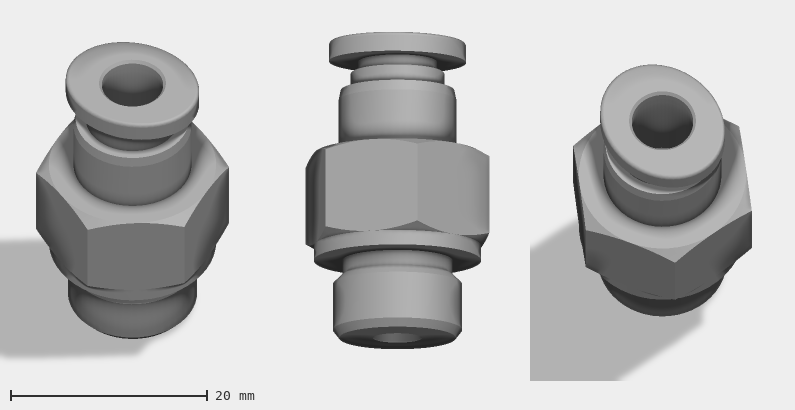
import cadquery as cq
import math

end_chamfer_top = 0.83
thread_top = 5.57
relief_bottom = 6.52
collar_bottom = 8.02
hex_bottom = 9.52
hex_top = 19.0
shoulder_bottom = 24.57
body_top = 25.6
step_top = 27.42
flange_bottom = 28.58
total_height = 30.6

across_flats = 17.0
collar_radius = across_flats / 2
hex_corner_radius = collar_radius / math.cos(math.radians(30))
thread_radius = 6.58
thread_end_radius = 5.95
relief_radius = 5.6
barrel_radius = 6.0
shoulder_radius = 5.78
bore_radius = 2.48

bevel_angle = 30.0
bevel_height = (hex_corner_radius - collar_radius) * math.tan(math.radians(bevel_angle))

sleeve_radius = 4.77
sleeve_bottom = hex_top
sleeve_edge_chamfer = 0.1
neck_radius = 4.0
flange_half_length = 7.0
flange_half_width = 5.9
flange_edge_round = 0.35
tube_radius = 3.12
tube_mouth_chamfer = 0.28


def revolve_profile(points):
    """Turn a closed (radius, height) profile around the Z axis."""
    return cq.Workplane("XZ").polyline(points).close().revolve(360, (0, 0, 0), (0, 1, 0))


def cylinder(radius, bottom, top):
    return cq.Workplane("XY").workplane(offset=bottom).circle(radius).extrude(top - bottom)


def make_hexagon():
    """Hexagon with corners on the Y axis, bevelled conically at both ends."""
    prism = (
        cq.Workplane("XY")
        .workplane(offset=hex_bottom)
        .transformed(rotate=(0, 0, 90))
        .polygon(6, 2 * hex_corner_radius)
        .extrude(hex_top - hex_bottom)
    )
    bevel_envelope = revolve_profile([
        (0, hex_bottom),
        (collar_radius, hex_bottom),
        (hex_corner_radius, hex_bottom + bevel_height),
        (hex_corner_radius, hex_top - bevel_height),
        (collar_radius, hex_top),
        (0, hex_top),
    ])
    return prism.intersect(bevel_envelope)


def make_body():
    """Threaded body with a through bore and a recess for the release sleeve."""
    threaded_end = revolve_profile([
        (0, 0),
        (thread_end_radius, 0),
        (thread_radius, end_chamfer_top),
        (thread_radius, thread_top),
        (relief_radius, relief_bottom),
        (relief_radius, collar_bottom),
        (collar_radius, collar_bottom),
        (collar_radius, hex_bottom),
        (0, hex_bottom),
    ])
    barrel = revolve_profile([
        (0, hex_top),
        (barrel_radius, hex_top),
        (barrel_radius, shoulder_bottom),
        (shoulder_radius, body_top),
        (0, body_top),
    ])
    bore = cylinder(bore_radius, 0, body_top)
    sleeve_recess = cylinder(sleeve_radius, sleeve_bottom, body_top)
    return threaded_end.union(make_hexagon()).union(barrel).cut(bore).cut(sleeve_recess)


def make_release_sleeve():
    """Push-to-release sleeve with an oval flange and a tube hole."""
    stem = cylinder(sleeve_radius, sleeve_bottom, step_top).faces(">Z").edges().chamfer(sleeve_edge_chamfer)
    neck = cylinder(neck_radius, step_top, flange_bottom)
    flange = (
        cq.Workplane("XY")
        .workplane(offset=flange_bottom)
        .ellipse(flange_half_length, flange_half_width)
        .extrude(total_height - flange_bottom)
        .faces(">Z")
        .edges()
        .fillet(flange_edge_round)
    )
    tube_hole = cylinder(tube_radius, sleeve_bottom, total_height)
    mouth = revolve_profile([
        (0, total_height - tube_mouth_chamfer),
        (tube_radius, total_height - tube_mouth_chamfer),
        (tube_radius + tube_mouth_chamfer, total_height),
        (0, total_height),
    ])
    return stem.union(neck).union(flange).cut(tube_hole).cut(mouth)


body = make_body()
release_sleeve = make_release_sleeve()

result = cq.Compound.makeCompound([body.val(), release_sleeve.val()])